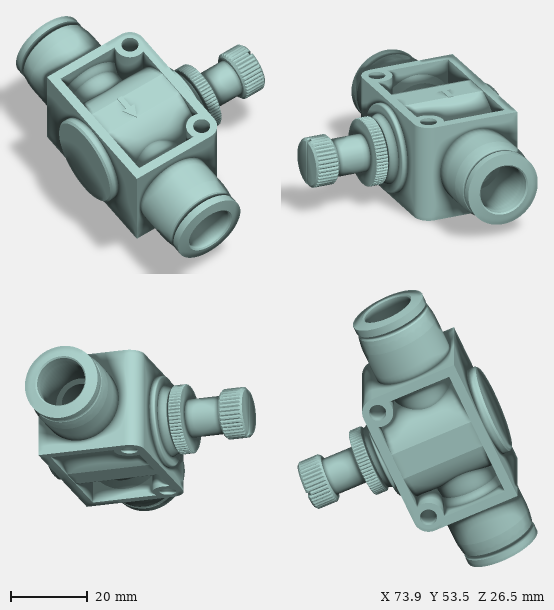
import cadquery as cq
import math


BODY_LENGTH = 40.35
BODY_HEIGHT = 26.5
BODY_FRONT_Y = -11.6
BODY_BACK_Y = 16.1
WALL = 2.5
CORNER_RADIUS = 4.1
MOUNTING_HOLE_DIAMETER = 4.4
WEB_THICKNESS = 4.6

BARREL_RADIUS = 13.5
BARREL_FLAT_Z = 13.0
TUBE_RADIUS = 8.7
TUBE_FLARE = 1.8

OVERALL_LENGTH = 73.9
FITTING_RADIUS = 10.5
FITTING_STRAIGHT_X = 29.3
FITTING_ARC_END_X = 31.8
FITTING_ARC_END_RADIUS = 10.2
FITTING_END_X = 33.3
FITTING_END_RADIUS = 10.0
FITTING_CHAMFER = 0.3
COLLAR_INNER_X = 34.4
COLLAR_RADIUS = 10.0
COLLAR_NECK_RADIUS = 7.25
COLLAR_FACE_DROP = 0.5
SOCKET_RADIUS = 6.6
SOCKET_CHAMFER = 0.4
SOCKET_DEPTH = 16.25
BORE_RADIUS = 5.0

CAP_RADIUS = 12.0
CAP_END_Y = -14.0
CAP_CHAMFER = 0.5
FLANGE_END_Y = 17.6
FLANGE_FILLET = 0.45
CONE_END_Y = 19.65
CONE_BASE_RADIUS = 9.4
CONE_TIP_RADIUS = 8.35

SCREW_NECK_RADIUS = 6.4
SCREW_RADIUS = 5.0
NUT_START_Y = 20.25
NUT_END_Y = 23.6
NUT_RADIUS = 9.1
NUT_CHAMFER = 0.2
NUT_TEETH = 60
KNOB_START_Y = 32.95
KNOB_END_Y = 39.5
KNOB_RADIUS = 6.65
KNOB_CHAMFER = 0.7
KNOB_TEETH = 36
KNURL_DEPTH = 0.4
KNURL_LAND_SHARE = 0.4
DRIVER_SLOT_WIDTH = 1.0
DRIVER_SLOT_DEPTH = 1.1

ARROW_LENGTH = 7.75
ARROW_HEAD_LENGTH = 3.8
ARROW_HEAD_WIDTH = 3.85
ARROW_SHAFT_WIDTH = 1.5
ARROW_RELIEF = 0.2

BODY_DEPTH = BODY_BACK_Y - BODY_FRONT_Y
BODY_CENTER_Y = (BODY_BACK_Y + BODY_FRONT_Y) / 2
CAVITY_LENGTH = BODY_LENGTH - 2 * WALL
CAVITY_DEPTH = BODY_DEPTH - 2 * WALL
BOSS_X = BODY_LENGTH / 2 - CORNER_RADIUS
BOSS_Y = BODY_BACK_Y - CORNER_RADIUS
BOSS_CENTERS = [(-BOSS_X, BOSS_Y), (BOSS_X, BOSS_Y)]


def turn_about_y(points):
    """Solid of revolution from (radius, y) points, closed along the Y axis."""
    profile = [(0, points[0][1]), *points, (0, points[-1][1])]
    return cq.Workplane("XY").polyline(profile).close().revolve(360, (0, 0), (0, 1))


def cylinder_along_x(radius, length):
    return cq.Workplane("YZ").circle(radius).extrude(length / 2, both=True)


def centered_block(length, depth, height):
    return cq.Workplane("XY").box(length, depth, height).translate((0, BODY_CENTER_Y, 0))


def upright_bosses(radius):
    return cq.Workplane("XY").pushPoints(BOSS_CENTERS).circle(radius).extrude(BODY_HEIGHT / 2, both=True)


def make_core():
    """Barrel, flow tube and web that cross the open middle of the body."""
    barrel = turn_about_y([(BARREL_RADIUS, BODY_FRONT_Y), (BARREL_RADIUS, BODY_BACK_Y)])
    barrel = barrel.intersect(centered_block(BODY_LENGTH, BODY_DEPTH, 2 * BARREL_FLAT_Z))
    web = centered_block(CAVITY_LENGTH, BODY_DEPTH, WEB_THICKNESS)
    tube = cylinder_along_x(TUBE_RADIUS, CAVITY_LENGTH)
    for end in (-1, 1):
        flare = (
            cq.Workplane("YZ", origin=(end * (CAVITY_LENGTH / 2 - TUBE_FLARE), 0, 0))
            .circle(TUBE_RADIUS)
            .workplane(offset=end * TUBE_FLARE)
            .circle(TUBE_RADIUS + TUBE_FLARE)
            .loft()
        )
        tube = tube.union(flare)
    return web.union(barrel).union(tube)


def make_body():
    block = centered_block(BODY_LENGTH, BODY_DEPTH, BODY_HEIGHT)
    block = block.edges("|Z and >Y").fillet(CORNER_RADIUS)
    cavity = centered_block(CAVITY_LENGTH, CAVITY_DEPTH, BODY_HEIGHT)
    cavity = cavity.cut(make_core()).cut(upright_bosses(CORNER_RADIUS))
    return block.cut(cavity)


def make_fitting():
    """Fitting and release collar on the +X end, turned about X."""
    end_x = OVERALL_LENGTH / 2
    rim_x = end_x - COLLAR_FACE_DROP
    arc_mid_x = (FITTING_STRAIGHT_X + FITTING_ARC_END_X) / 2
    arc_mid_radius = FITTING_RADIUS - (FITTING_RADIUS - FITTING_ARC_END_RADIUS) / 4
    return (
        cq.Workplane("XY")
        .moveTo(CAVITY_LENGTH / 2, 0)
        .lineTo(CAVITY_LENGTH / 2, FITTING_RADIUS)
        .lineTo(FITTING_STRAIGHT_X, FITTING_RADIUS)
        .threePointArc((arc_mid_x, arc_mid_radius), (FITTING_ARC_END_X, FITTING_ARC_END_RADIUS))
        .lineTo(FITTING_END_X - FITTING_CHAMFER, FITTING_END_RADIUS)
        .lineTo(FITTING_END_X, FITTING_END_RADIUS - FITTING_CHAMFER)
        .lineTo(FITTING_END_X, COLLAR_NECK_RADIUS)
        .lineTo(COLLAR_INNER_X, COLLAR_NECK_RADIUS)
        .lineTo(COLLAR_INNER_X, COLLAR_RADIUS)
        .lineTo(rim_x, COLLAR_RADIUS)
        .lineTo(end_x, SOCKET_RADIUS + SOCKET_CHAMFER)
        .lineTo(end_x, 0)
        .close()
        .revolve(360, (0, 0), (1, 0))
    )


def make_flow_passage():
    """Through bore with a chamfered tube socket at both ends."""
    end_x = OVERALL_LENGTH / 2
    passage = cylinder_along_x(BORE_RADIUS, OVERALL_LENGTH)
    socket = (
        cq.Workplane("XY")
        .moveTo(end_x - SOCKET_DEPTH, 0)
        .lineTo(end_x - SOCKET_DEPTH, SOCKET_RADIUS)
        .lineTo(end_x - SOCKET_CHAMFER, SOCKET_RADIUS)
        .lineTo(end_x, SOCKET_RADIUS + SOCKET_CHAMFER)
        .lineTo(end_x, 0)
        .close()
        .revolve(360, (0, 0), (1, 0))
    )
    return passage.union(socket).union(socket.mirror("YZ"))


def make_cap():
    return turn_about_y([
        (CAP_RADIUS - CAP_CHAMFER, CAP_END_Y),
        (CAP_RADIUS, CAP_END_Y + CAP_CHAMFER),
        (CAP_RADIUS, BODY_FRONT_Y),
    ])


def make_flange():
    flange = turn_about_y([(CAP_RADIUS, BODY_BACK_Y), (CAP_RADIUS, FLANGE_END_Y)])
    return flange.edges(">Y").fillet(FLANGE_FILLET)


def make_screw():
    """Cone, neck and plain shank of the adjusting screw."""
    return turn_about_y([
        (CONE_BASE_RADIUS, FLANGE_END_Y),
        (CONE_TIP_RADIUS, CONE_END_Y),
        (SCREW_NECK_RADIUS, CONE_END_Y),
        (SCREW_NECK_RADIUS, NUT_START_Y),
        (SCREW_RADIUS, NUT_START_Y),
        (SCREW_RADIUS, KNOB_START_Y),
    ])


def make_knurled_disc(radius, start_y, end_y, chamfer, teeth):
    """Chamfered disc about Y with straight V-groove knurling around its rim."""
    blank = turn_about_y([
        (radius - chamfer, start_y),
        (radius, start_y + chamfer),
        (radius, end_y - chamfer),
        (radius - chamfer, end_y),
    ])
    tip_radius = radius + KNURL_DEPTH * KNURL_LAND_SHARE / (1 - KNURL_LAND_SHARE)
    half_pitch = math.pi / teeth
    outline = []
    for step in range(2 * teeth):
        reach = tip_radius if step % 2 == 0 else radius - KNURL_DEPTH
        outline.append((reach * math.cos(step * half_pitch), reach * math.sin(step * half_pitch)))
    toothed = cq.Workplane("XZ", origin=(0, start_y, 0)).polyline(outline).close().extrude(start_y - end_y)
    return blank.intersect(toothed)


def make_knob():
    knob = make_knurled_disc(KNOB_RADIUS, KNOB_START_Y, KNOB_END_Y, KNOB_CHAMFER, KNOB_TEETH)
    slot = cq.Workplane("XY").box(DRIVER_SLOT_WIDTH, 2 * DRIVER_SLOT_DEPTH, 2 * KNOB_RADIUS)
    return knob.cut(slot.translate((0, KNOB_END_Y, 0)))


def make_arrow():
    """Flow arrow pointing along +X, its tip and tail equally far from the screw axis."""
    tip_x = ARROW_LENGTH / 2
    head_x = tip_x - ARROW_HEAD_LENGTH
    half_shaft = ARROW_SHAFT_WIDTH / 2
    half_head = ARROW_HEAD_WIDTH / 2
    upper_side = [(-tip_x, half_shaft), (head_x, half_shaft), (head_x, half_head), (tip_x, 0)]
    lower_side = [(x, -y) for x, y in reversed(upper_side[:-1])]
    base_z = BARREL_FLAT_Z - ARROW_RELIEF
    outline = cq.Workplane("XY", origin=(0, 0, base_z)).polyline(upper_side + lower_side).close()
    return outline.extrude(2 * ARROW_RELIEF)


fitting = make_fitting()
nut = make_knurled_disc(NUT_RADIUS, NUT_START_Y, NUT_END_Y, NUT_CHAMFER, NUT_TEETH)

result = make_body()
screw_pieces = (make_cap(), make_flange(), make_screw(), nut, make_knob())
for piece in (fitting, fitting.mirror("YZ"), *screw_pieces, make_arrow()):
    result = result.union(piece)
result = result.cut(make_flow_passage()).cut(upright_bosses(MOUNTING_HOLE_DIAMETER / 2))